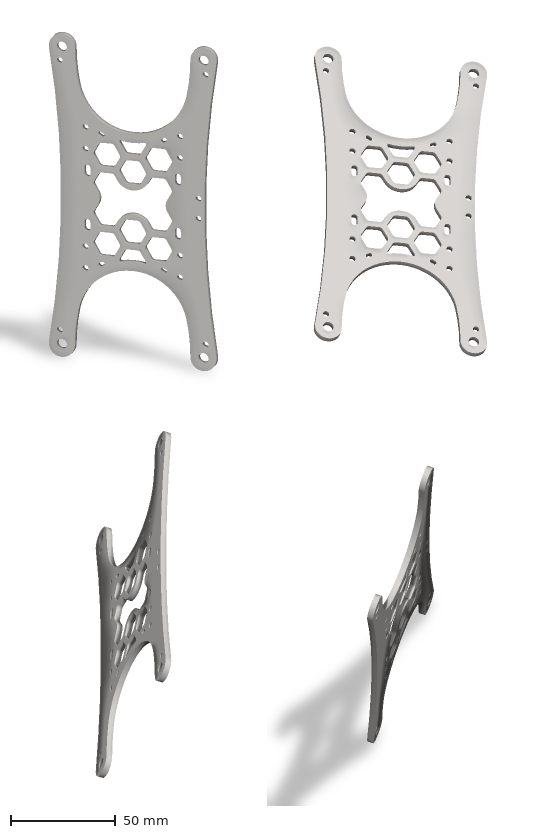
import cadquery as cq
import math

length = 163.0
width = 84.0
thickness = 3.0
end_radius = 6.5
end_x = width / 2 - end_radius
end_z = length / 2 - end_radius
waist_half_width = 35.9
saddle_bottom_z = 34.5
arm_inner_radius = 89.6

end_hole_diameter = 5.0
small_hole_diameter = 3.0
arm_hole_x, arm_hole_z = 36.5, 68.0
mount_hole_x = 23.6
mount_hole_heights = (24.6, 35.5)
edge_hole_x, edge_hole_z = 33.0, 5.0
slot_x, slot_z = 22.7, 13.7
slot_length = 6.0
tilted_slot_x, tilted_slot_z = 15.6, 32.8
tilted_slot_length = 3.3
tilted_slot_width = 2.0
tilted_slot_angle = 30.0

hex_flats = 12.0
hex_wall = 3.0
hex_corner_radius = 2.0
side_lobe_radius = 6.0
saddle_rim = 4.5
cos_30 = math.cos(math.radians(30))
hex_pitch = hex_flats + hex_wall
hex_column = hex_pitch * cos_30
hex_corner_diameter = hex_flats / cos_30
collar_radius = hex_flats / 2 + hex_wall

arm_inner_x = end_x - end_radius
saddle_depth = end_z - saddle_bottom_z
saddle_radius = (2 * arm_inner_x * arm_inner_radius - arm_inner_x**2 - saddle_depth**2) / (
    2 * (arm_inner_radius - saddle_depth)
)
saddle_center_z = saddle_bottom_z + saddle_radius

waist_inset = waist_half_width - end_x
side_radius = (waist_inset**2 + end_z**2 - end_radius**2) / (2 * (end_radius - waist_inset))
side_center_x = waist_half_width + side_radius


def sketch_plane():
    """XZ plane whose solids extrude from the back face (+Y) to the front face (-Y)."""
    return cq.Workplane("XZ", origin=(0, thickness / 2, 0))


def all_quadrants(x, z):
    return [(sx * x, sz * z) for sx in (-1, 1) for sz in (-1, 1)]


def prism(points, diameter):
    return sketch_plane().pushPoints(points).circle(diameter / 2).extrude(thickness)


def box(half_width, half_height):
    return sketch_plane().rect(2 * half_width, 2 * half_height).extrude(thickness)


def hexagons(points):
    sharp = sketch_plane().pushPoints(points).polygon(6, hex_corner_diameter).extrude(thickness)
    return sharp.edges("|Y").fillet(hex_corner_radius)


def point_on_arc(center, radius, angle):
    return (center[0] + radius * math.cos(angle), center[1] + radius * math.sin(angle))


def plate():
    """Outline with four arms, drawn clockwise from the left waist."""
    side_touch_angle = math.atan2(end_z, side_center_x - end_x)
    side_touch_x, side_touch_z = point_on_arc(
        (-side_center_x, 0), side_radius, side_touch_angle
    )
    arm_center = (arm_inner_radius - arm_inner_x, end_z)
    join_angle = math.pi + math.atan2(end_z - saddle_center_z, arm_center[0])
    arm_join_x, arm_join_z = point_on_arc(arm_center, arm_inner_radius, join_angle)
    arm_middle_x, arm_middle_z = point_on_arc(
        arm_center, arm_inner_radius, (math.pi + join_angle) / 2
    )

    top = length / 2
    outline = (
        sketch_plane()
        .moveTo(side_touch_x, -side_touch_z)
        .threePointArc((-waist_half_width, 0), (side_touch_x, side_touch_z))
        .threePointArc((-end_x, top), (-arm_inner_x, end_z))
        .threePointArc((arm_middle_x, arm_middle_z), (arm_join_x, arm_join_z))
        .threePointArc((0, saddle_bottom_z), (-arm_join_x, arm_join_z))
        .threePointArc((-arm_middle_x, arm_middle_z), (arm_inner_x, end_z))
        .threePointArc((end_x, top), (-side_touch_x, side_touch_z))
        .threePointArc((waist_half_width, 0), (-side_touch_x, -side_touch_z))
        .threePointArc((end_x, -top), (arm_inner_x, -end_z))
        .threePointArc((-arm_middle_x, -arm_middle_z), (-arm_join_x, -arm_join_z))
        .threePointArc((0, -saddle_bottom_z), (arm_join_x, -arm_join_z))
        .threePointArc((arm_middle_x, -arm_middle_z), (-arm_inner_x, -end_z))
        .threePointArc((-end_x, -top), (side_touch_x, -side_touch_z))
        .close()
    )
    return outline.extrude(thickness)


def honeycomb_cells():
    """Whole hexagons, plus one per saddle cut short along the saddle's rim."""
    whole = all_quadrants(hex_column, 1.5 * hex_pitch) + [(0, hex_pitch), (0, -hex_pitch)]
    saddle_centers = [(0, saddle_center_z), (0, -saddle_center_z)]
    rims = prism(saddle_centers, 2 * (saddle_radius + saddle_rim))
    short_cells = hexagons([(0, 2 * hex_pitch), (0, -2 * hex_pitch)]).cut(rims)
    return hexagons(whole).union(short_cells)


def central_opening():
    """Four joined hexagons, with round collars and side lobes left standing between them."""
    corner_cells = hexagons(all_quadrants(hex_column, hex_pitch / 2))

    collars = prism([(0, hex_pitch), (0, -hex_pitch)], 2 * collar_radius)
    collar_touch_x = collar_radius * cos_30
    collar_touch_z = hex_pitch - collar_radius / 2

    lobe_x = 2 * hex_column - (collar_radius - side_lobe_radius) / cos_30
    lobes = prism([(lobe_x, 0), (-lobe_x, 0)], 2 * side_lobe_radius)
    lobe_touch_x = lobe_x - side_lobe_radius * cos_30
    lobe_touch_z = side_lobe_radius / 2

    return (
        corner_cells.union(box(hex_column, hex_pitch / 2))
        .union(box(collar_touch_x, collar_touch_z))
        .union(box(lobe_touch_x, lobe_touch_z))
        .cut(collars)
        .cut(lobes)
    )


def round_holes():
    small = all_quadrants(arm_hole_x, arm_hole_z)
    for height in mount_hole_heights:
        small += all_quadrants(mount_hole_x, height)
    small += [(edge_hole_x, edge_hole_z), (edge_hole_x, -edge_hole_z)]
    end_holes = prism(all_quadrants(end_x, end_z), end_hole_diameter)
    return end_holes.union(prism(small, small_hole_diameter))


def slots():
    upright = (
        sketch_plane()
        .pushPoints(all_quadrants(slot_x, slot_z))
        .slot2D(slot_length, small_hole_diameter, 90)
        .extrude(thickness)
    )
    cutters = upright
    for x, z in all_quadrants(tilted_slot_x, tilted_slot_z):
        angle = math.copysign(tilted_slot_angle, x * z)
        tilted = (
            sketch_plane()
            .center(x, z)
            .slot2D(tilted_slot_length, tilted_slot_width, angle)
            .extrude(thickness)
        )
        cutters = cutters.union(tilted)
    return cutters


result = plate().cut(honeycomb_cells()).cut(central_opening()).cut(round_holes()).cut(slots())